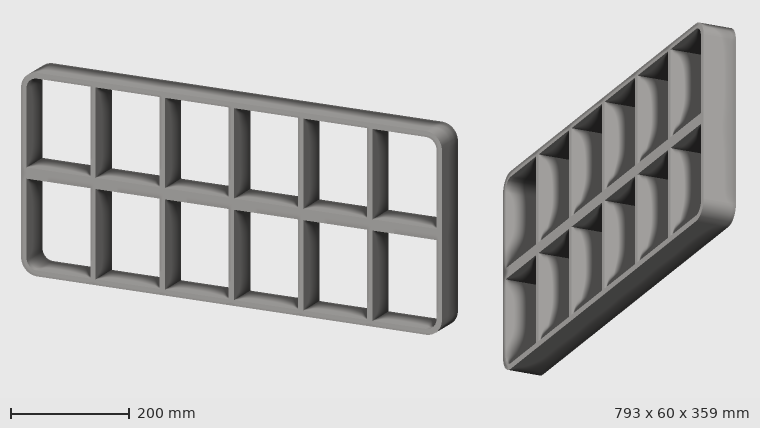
import cadquery as cq

length = 793.0
depth = 60.0
height = 359.0
corner_radius = 30.0

wall = 10.0
rib = 10.0
middle_bar = 20.0
columns = 6
rows = 2

inner_length = length - 2 * wall
inner_height = height - 2 * wall
window_width = (inner_length - (columns - 1) * rib) / columns
window_height = (inner_height - (rows - 1) * middle_bar) / rows


def block(x_size, z_size):
    """Block centred on the origin, running the full depth along Y."""
    return cq.Workplane("XY").box(x_size, depth, z_size)


def window_grid():
    """Rectangular openings, evenly spaced in columns and rows."""
    return (
        cq.Workplane("XZ")
        .rarray(window_width + rib, window_height + middle_bar, columns, rows)
        .rect(window_width, window_height)
        .extrude(depth / 2, both=True)
    )


outer = block(length, height).edges("|Y").fillet(corner_radius)
inner = block(inner_length, inner_height).edges("|Y").fillet(corner_radius - wall)
windows = window_grid().intersect(inner)

result = outer.cut(windows)